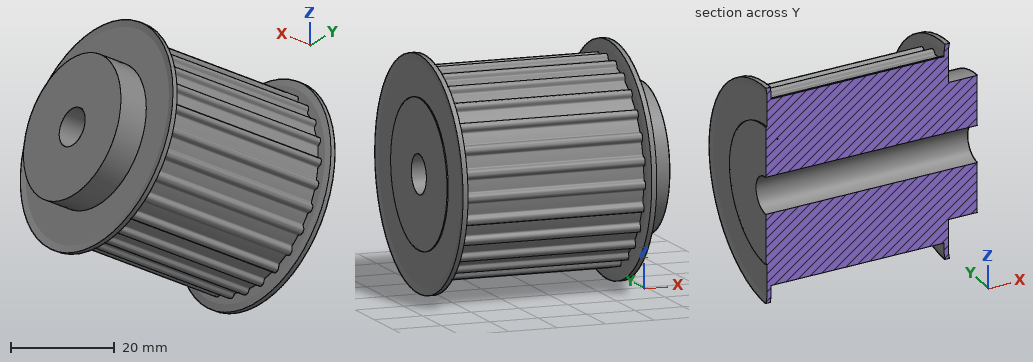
import cadquery as cq
import math

pulley_length = 46.0
hub_diameter = 30.0
bore_diameter = 8.0

flange_diameter = 47.0
flat_disc_diameter = 44.1
flange_thickness = 1.05
flange_flare = 0.25
flange_span = 40.0

tooth_count = 27
tip_diameter = 41.7
tooth_depth = 1.0
groove_root_width = 2.55
flank_angle = 29.6
tip_fillet = 0.7
root_fillet = 0.38

rim_radius = flange_diameter / 2
flat_disc_radius = flat_disc_diameter / 2
flange_depth = flange_flare + flange_thickness
tip_radius = tip_diameter / 2
root_radius = tip_radius - tooth_depth
mid_tooth_radius = tip_radius - tooth_depth / 2

pitch_angle = 2 * math.pi / tooth_count
groove_tip_width = groove_root_width + 2 * tooth_depth * math.tan(math.radians(flank_angle))
root_half_angle = math.asin(groove_root_width / 2 / root_radius)
tip_half_angle = pitch_angle / 2 - math.asin(groove_tip_width / 2 / tip_radius)


def polar(radius, angle):
    """Point in the YZ plane, with the angle measured from +Z."""
    return (-radius * math.sin(angle), radius * math.cos(angle))


def bar(start, end, diameter):
    """Round bar along the pulley axis."""
    return cq.Workplane("YZ", origin=(start, 0, 0)).circle(diameter / 2).extrude(end - start)


def sharp_core(start, end):
    """Bar with unrounded trapezoidal teeth, one of them centred on +Z."""
    outline = cq.Workplane("YZ", origin=(start, 0, 0)).moveTo(*polar(tip_radius, -tip_half_angle))
    for tooth in range(tooth_count):
        tooth_angle = tooth * pitch_angle
        tip_end = tooth_angle + tip_half_angle
        groove_angle = tooth_angle + pitch_angle / 2
        root_start = groove_angle - root_half_angle
        root_end = groove_angle + root_half_angle
        next_tip_start = tooth_angle + pitch_angle - tip_half_angle
        outline = (
            outline
            .threePointArc(polar(tip_radius, tooth_angle), polar(tip_radius, tip_end))
            .lineTo(*polar(root_radius, root_start))
            .threePointArc(polar(root_radius, groove_angle), polar(root_radius, root_end))
        )
        if tooth < tooth_count - 1:
            outline = outline.lineTo(*polar(tip_radius, next_tip_start))
    return outline.close().extrude(end - start)


def distance_from_axis(edge):
    centre = edge.Center()
    return math.hypot(centre.y, centre.z)


def toothed_core(start, end):
    """Toothed bar with rounded tooth tips and groove corners."""
    core = sharp_core(start, end)
    tips = [edge for edge in core.edges("|X").vals() if distance_from_axis(edge) > mid_tooth_radius]
    core = core.newObject(tips).fillet(tip_fillet)

    tolerance = 0.005
    root_limit = root_radius + tolerance
    roots = [edge for edge in core.edges("|X").vals() if distance_from_axis(edge) < root_limit]
    return core.newObject(roots).fillet(root_fillet)


def flange():
    """Left flange, with its outer band flared towards -X."""
    half_section = [
        (flange_flare, 0),
        (flange_flare, flat_disc_radius),
        (0, rim_radius),
        (flange_thickness, rim_radius),
        (flange_depth, flat_disc_radius),
        (flange_depth, 0),
    ]
    return cq.Workplane("XY").polyline(half_section).close().revolve(360, (0, 0, 0), (1, 0, 0))


left_flange = flange()
right_flange = left_flange.mirror("YZ").translate((flange_span, 0, 0))

hub = bar(0, pulley_length, hub_diameter)
bore = bar(0, pulley_length, bore_diameter)

result = (
    toothed_core(flange_depth, flange_span - flange_depth)
    .union(left_flange)
    .union(right_flange)
    .union(hub)
    .cut(bore)
    .translate((-pulley_length / 2, 0, 0))
)